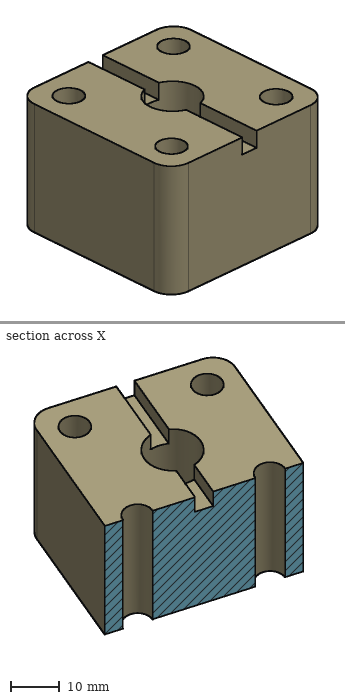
import cadquery as cq

side = 45.0
height = 30.0
corner_radius = 5.0

bore_diameter = 12.8
bolt_hole_diameter = 6.7
bolt_spacing = 30.0

slot_width = 4.1
slot_depth = 4.0


def make_block():
    """Square block with rounded vertical edges, standing on Z = 0."""
    block = cq.Workplane("XY").box(side, side, height, centered=(True, True, False))
    return block.edges("|Z").fillet(corner_radius)


def cut_holes(block):
    """Central bore and four bolt holes, all through the full height."""
    bored = block.faces(">Z").workplane().hole(bore_diameter)
    bolt_pattern = bored.faces(">Z").workplane().rect(bolt_spacing, bolt_spacing, forConstruction=True)
    return bolt_pattern.vertices().hole(bolt_hole_diameter)


def cut_slot(block):
    """Open-ended slot running across the middle of the top face."""
    slot = (
        cq.Workplane("XY")
        .workplane(offset=height - slot_depth)
        .rect(side, slot_width)
        .extrude(slot_depth)
    )
    return block.cut(slot)


result = cut_slot(cut_holes(make_block()))